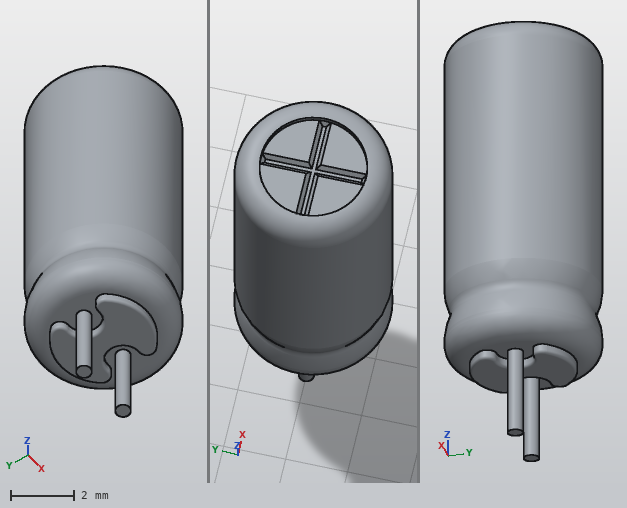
import cadquery as cq
import math

total_height = 13.8
can_diameter = 5.0
can_radius = can_diameter / 2

lead_diameter = 0.5
lead_pitch = 2.0

seal_diameter = 3.4
seal_bottom = 2.5
seal_edge_radius = 0.1
lead_slot_width = 1.2
slot_mouth_radius = 0.3

can_bottom = 2.8
can_edge_radius = 0.7

crimp_height = 4.5
crimp_depth = 0.2
throat_radius = 0.5
shoulder_radius = 1.5

recess_diameter = 3.4
recess_depth = 0.2
recess_floor = total_height - recess_depth
score_width = 0.39
score_depth = 0.14
score_floor_width = 0.12


def make_can():
    """Revolve the can profile, with rounded ends and the crimp groove."""
    sweep = math.acos(1 - crimp_depth / (throat_radius + shoulder_radius))
    groove_radius = can_radius - crimp_depth
    blend_radius = groove_radius + throat_radius * (1 - math.cos(sweep))
    blend_rise = throat_radius * math.sin(sweep)
    shoulder_rise = (throat_radius + shoulder_radius) * math.sin(sweep)
    shoulder_mid_radius = can_radius - shoulder_radius * (1 - math.cos(sweep / 2))
    shoulder_mid_rise = shoulder_rise - shoulder_radius * math.sin(sweep / 2)

    flat_radius = can_radius - can_edge_radius
    edge_mid_inset = can_edge_radius * (1 - math.sqrt(0.5))
    edge_mid_radius = can_radius - edge_mid_inset

    profile = (
        cq.Workplane("XZ")
        .moveTo(0, can_bottom)
        .lineTo(flat_radius, can_bottom)
        .threePointArc(
            (edge_mid_radius, can_bottom + edge_mid_inset),
            (can_radius, can_bottom + can_edge_radius),
        )
        .lineTo(can_radius, crimp_height - shoulder_rise)
        .threePointArc(
            (shoulder_mid_radius, crimp_height - shoulder_mid_rise),
            (blend_radius, crimp_height - blend_rise),
        )
        .threePointArc((groove_radius, crimp_height), (blend_radius, crimp_height + blend_rise))
        .threePointArc(
            (shoulder_mid_radius, crimp_height + shoulder_mid_rise),
            (can_radius, crimp_height + shoulder_rise),
        )
        .lineTo(can_radius, total_height - can_edge_radius)
        .threePointArc(
            (edge_mid_radius, total_height - edge_mid_inset),
            (flat_radius, total_height),
        )
        .lineTo(0, total_height)
        .close()
    )
    return profile.revolve(360, (0, 0, 0), (0, 1, 0))


def make_recess():
    """Shallow round recess in the top of the can."""
    floor = cq.Workplane("XY").workplane(offset=recess_floor)
    return floor.circle(recess_diameter / 2).extrude(recess_depth)


def make_score(angle):
    """One bar of the scored cross, narrowing toward its floor on all sides."""
    end_inset = (score_width - score_floor_width) / 2
    bar = (
        cq.Workplane("XY")
        .workplane(offset=recess_floor)
        .rect(recess_diameter, score_width)
        .workplane(offset=-score_depth)
        .rect(recess_diameter - 2 * end_inset, score_floor_width)
        .loft(ruled=True)
    )
    within_recess = (
        cq.Workplane("XY")
        .workplane(offset=recess_floor - score_depth)
        .circle(recess_diameter / 2)
        .extrude(score_depth)
    )
    return bar.intersect(within_recess).rotate((0, 0, 0), (0, 0, 1), angle)


def make_seal():
    """Round seal with an open, round-ended slot around each lead."""
    thickness = can_bottom - seal_bottom
    seal = cq.Workplane("XY").workplane(offset=seal_bottom).circle(seal_diameter / 2).extrude(thickness)
    slot_reach = seal_diameter
    for side in (-1, 1):
        slot = (
            cq.Workplane("XY")
            .workplane(offset=seal_bottom)
            .center(side * (lead_pitch + slot_reach) / 2, 0)
            .slot2D(slot_reach + lead_slot_width, lead_slot_width)
            .extrude(thickness)
        )
        seal = seal.cut(slot)
    mouth_x = math.sqrt((seal_diameter / 2) ** 2 - (lead_slot_width / 2) ** 2)
    mouth_corners = seal.edges("|Z").filter(lambda edge: abs(edge.Center().x) > mouth_x - 0.01)
    seal = seal.newObject(mouth_corners.vals()).fillet(slot_mouth_radius)
    return seal.faces("<Z").edges().fillet(seal_edge_radius)


def make_leads():
    """Two straight round leads below the can."""
    lead_places = [(-lead_pitch / 2, 0), (lead_pitch / 2, 0)]
    return cq.Workplane("XY").pushPoints(lead_places).circle(lead_diameter / 2).extrude(can_bottom)


result = make_can().cut(make_recess())
for score_angle in (0, 90):
    result = result.cut(make_score(score_angle))
result = result.union(make_seal()).union(make_leads())